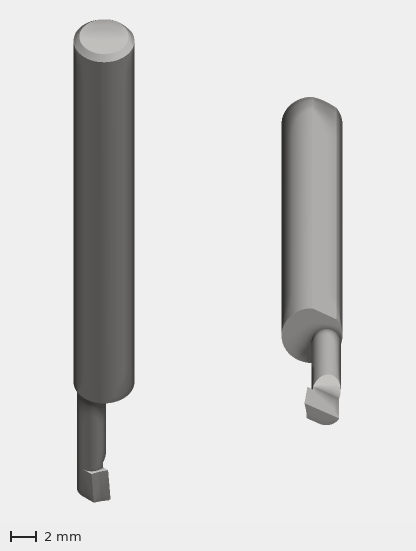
import cadquery as cq

total_length = 50.8
shank_diameter = 4.75
shank_radius = shank_diameter / 2
shank_bottom = 12.65
shank_flat_y = 2.15
shank_chamfer = 0.45

neck_diameter = 2.3
neck_radius = neck_diameter / 2
neck_x = neck_radius - shank_radius

relief_low_z = 3.65
relief_high_z = 4.6

head_height = 3.15
head_front_y = -neck_radius
clearance_mid_y = -0.6
front_corner_x = -0.1
clearance_mid_x = 0.2
cutting_edge_x = 0.65
side_taper = 0.25
tip_x = 0.55
end_rise_x = 0.1
end_rise_y = 0.1


def make_shank():
    shank = (
        cq.Workplane("XY", origin=(0, 0, shank_bottom))
        .circle(shank_radius)
        .extrude(total_length - shank_bottom)
        .faces(">Z").chamfer(shank_chamfer)
    )
    flat_cut = cq.Workplane("XY", origin=(0, shank_flat_y, 0)).box(
        shank_diameter, shank_diameter, total_length, centered=(True, False, False)
    )
    return shank.cut(flat_cut)


def make_neck():
    neck = cq.Workplane("XY").center(neck_x, 0).circle(neck_radius).extrude(shank_bottom)
    relief = (
        cq.Workplane("YZ", origin=(neck_x, 0, 0))
        .polyline([(0, 0), (neck_radius, 0), (neck_radius, relief_high_z), (0, relief_low_z)])
        .close()
        .extrude(neck_radius, both=True)
    )
    return neck.cut(relief)


def head_section(shift):
    """Corners of the head's cross-section, its cutting side shifted towards -X."""
    return [
        (neck_x, 0),
        (neck_x, head_front_y),
        (front_corner_x - shift, head_front_y),
        (clearance_mid_x - shift, clearance_mid_y),
        (cutting_edge_x - shift, 0),
    ]


def make_head():
    head = (
        cq.Workplane("XY")
        .polyline(head_section(0)).close()
        .workplane(offset=head_height)
        .polyline(head_section(side_taper)).close()
        .loft(ruled=True)
    )
    bevel = cutting_edge_x - tip_x
    tip_cut = (
        cq.Workplane("XZ")
        .polyline([(tip_x, 0), (cutting_edge_x, 0), (cutting_edge_x, bevel)])
        .close()
        .extrude(neck_radius)
    )
    return head.cut(tip_cut)


def make_end_cut():
    """Block below the end face, which rises from the tip towards -X and -Y."""
    slope_x = end_rise_x / (tip_x + shank_radius)
    slope_y = end_rise_y / -head_front_y
    end_plane = cq.Plane(origin=(tip_x, 0, 0), normal=(slope_x, slope_y, 1))
    block_size = 2 * shank_diameter
    return cq.Workplane(end_plane).rect(block_size, block_size).extrude(-shank_radius)


result = make_shank().union(make_neck()).union(make_head()).cut(make_end_cut())